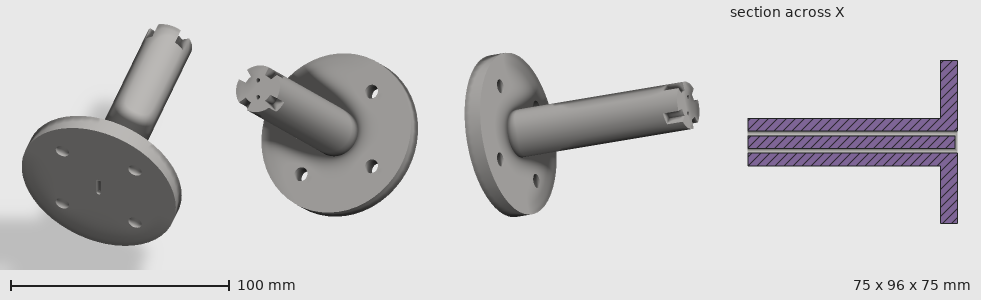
import cadquery as cq
import math

total_length = 96.0
flange_diameter = 75.0
flange_thickness = 8.1
shaft_diameter = 22.0

mount_hole_diameter = 6.5
mount_hole_spacing = 35.3

wire_hole_diameter = 2.0
wire_hole_spacing = 8.0

notch_count = 4
notch_first_angle = 45.0
notch_span = 30.0
notch_length = 8.1
notch_floor_radius = 7.0

flange_face = cq.Workplane("XZ")
shaft_radius = shaft_diameter / 2


def cylinder_along_y(diameter, length):
    """Cylinder from the flange face at Y = 0 toward +Y."""
    return flange_face.circle(diameter / 2).extrude(-length)


def make_notch(center_angle):
    """Ring sector that removes one notch from the shaft end."""
    outer_radius = shaft_radius + 1.0

    def point(radius, offset):
        angle = math.radians(center_angle + offset)
        return (radius * math.cos(angle), radius * math.sin(angle))

    half_span = notch_span / 2
    return (
        cq.Workplane("XZ", origin=(0, total_length - notch_length, 0))
        .moveTo(*point(notch_floor_radius, -half_span))
        .lineTo(*point(outer_radius, -half_span))
        .threePointArc(point(outer_radius, 0), point(outer_radius, half_span))
        .lineTo(*point(notch_floor_radius, half_span))
        .threePointArc(point(notch_floor_radius, 0), point(notch_floor_radius, -half_span))
        .close()
        .extrude(-notch_length)
    )


body = cylinder_along_y(flange_diameter, flange_thickness)
body = body.union(cylinder_along_y(shaft_diameter, total_length))

mount_holes = (
    flange_face.rect(mount_hole_spacing, mount_hole_spacing, forConstruction=True)
    .vertices()
    .circle(mount_hole_diameter / 2)
    .extrude(-flange_thickness)
)
body = body.cut(mount_holes)

wire_holes = (
    flange_face.rarray(1, wire_hole_spacing, 1, 2)
    .circle(wire_hole_diameter / 2)
    .extrude(-total_length)
)
wire_groove = (
    cq.Workplane("XY", origin=(0, 0, -wire_hole_spacing / 2))
    .circle(wire_hole_diameter / 2)
    .extrude(wire_hole_spacing)
)
body = body.cut(wire_holes).cut(wire_groove)

for index in range(notch_count):
    body = body.cut(make_notch(notch_first_angle + index * 360 / notch_count))

result = body